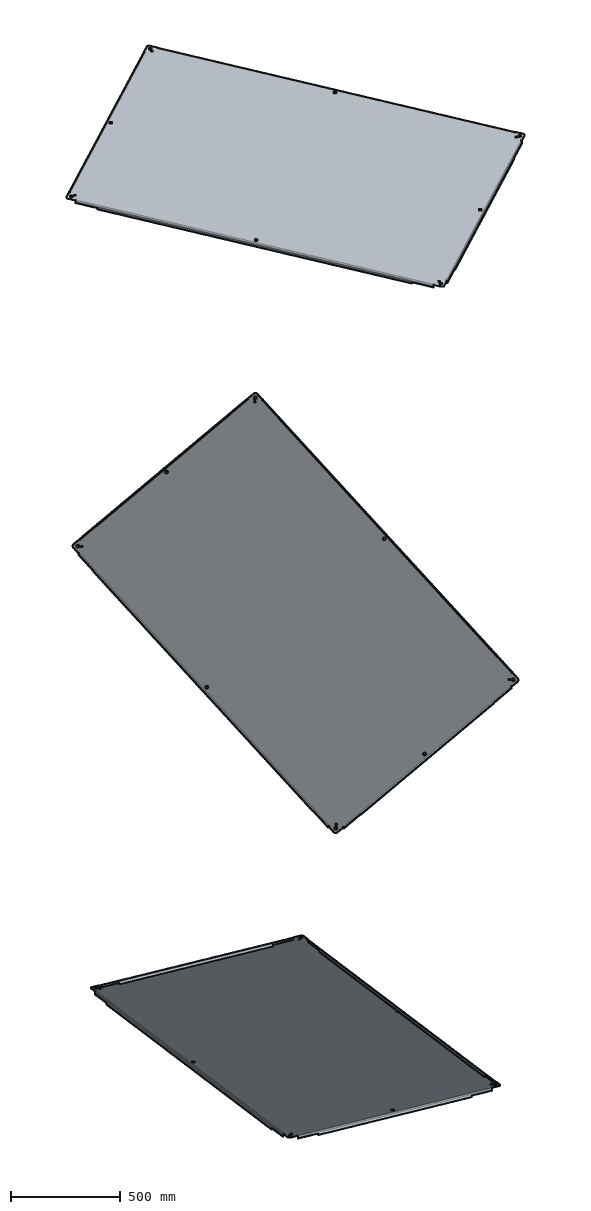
import cadquery as cq

LENGTH = 1827.0
WIDTH = 1116.0
HEIGHT = 22.0

SHEET = 1.5
BEND_RADIUS = 6.4

FLANGE_END_GAP = 50.0
SHALLOW_HEIGHT = 15.0
STEP_INSET = 155.0

CORNER_INSET = 2.0
CORNER_RADIUS = 11.0

MOUNT_DIAMETER = 13.0
MOUNT_INSET = 22.0
PILOT_DIAMETER = 7.1
PILOT_INSET = 35.0


def flat_panel():
    """Flat top sheet, cut back along each side to where the bend begins, with rounded corners."""
    panel = (
        cq.Workplane("XY")
        .box(LENGTH - 2 * CORNER_INSET, WIDTH - 2 * CORNER_INSET, SHEET)
        .edges("|Z")
        .fillet(CORNER_RADIUS)
    )
    long_strip = cq.Workplane("XY").box(LENGTH - 2 * FLANGE_END_GAP, 2 * BEND_RADIUS, SHEET)
    short_strip = cq.Workplane("XY").box(2 * BEND_RADIUS, WIDTH - 2 * FLANGE_END_GAP, SHEET)
    for side in (-1, 1):
        panel = panel.cut(long_strip.translate((0, side * WIDTH / 2, 0)))
        panel = panel.cut(short_strip.translate((side * LENGTH / 2, 0, 0)))
    return panel.translate((0, 0, HEIGHT - SHEET / 2))


def bent_strip(half_span, height, strip_length):
    """Strip bent down to the given height, running along X with its outer face at Y = -half_span."""
    bottom = HEIGHT - height
    bend_bottom = HEIGHT - BEND_RADIUS
    outer = -half_span
    inner = outer + SHEET
    bend_end = outer + BEND_RADIUS
    return (
        cq.Workplane("YZ")
        .moveTo(outer, bottom)
        .lineTo(outer, bend_bottom)
        .radiusArc((bend_end, HEIGHT), BEND_RADIUS)
        .lineTo(bend_end, HEIGHT - SHEET)
        .radiusArc((inner, bend_bottom), -(BEND_RADIUS - SHEET))
        .lineTo(inner, bottom)
        .close()
        .extrude(strip_length / 2, both=True)
    )


def flange(side_length, half_span):
    """Stepped flange along the -Y side of a panel that is side_length long in X."""
    shallow = bent_strip(half_span, SHALLOW_HEIGHT, side_length - 2 * FLANGE_END_GAP)
    deep = bent_strip(half_span, HEIGHT, side_length - 2 * STEP_INSET)
    return shallow.union(deep)


def corner_points(inset):
    """One point near each panel corner, the same distance from both sides."""
    x = LENGTH / 2 - inset
    y = WIDTH / 2 - inset
    return [(-x, -y), (x, -y), (x, y), (-x, y)]


def side_points(inset):
    """One point at the middle of each panel side."""
    x = LENGTH / 2 - inset
    y = WIDTH / 2 - inset
    return [(-x, 0), (x, 0), (0, -y), (0, y)]


def hole_cutters(points, diameter):
    return cq.Workplane("XY").pushPoints(points).circle(diameter / 2).extrude(HEIGHT)


result = flat_panel()

long_flange = flange(LENGTH, WIDTH / 2)
short_flange = flange(WIDTH, LENGTH / 2)
for turn in (0, 180):
    result = result.union(long_flange.rotate((0, 0, 0), (0, 0, 1), turn))
    result = result.union(short_flange.rotate((0, 0, 0), (0, 0, 1), turn + 90))

mount_points = corner_points(MOUNT_INSET) + side_points(MOUNT_INSET)
result = result.cut(hole_cutters(mount_points, MOUNT_DIAMETER))
result = result.cut(hole_cutters(corner_points(PILOT_INSET), PILOT_DIAMETER))